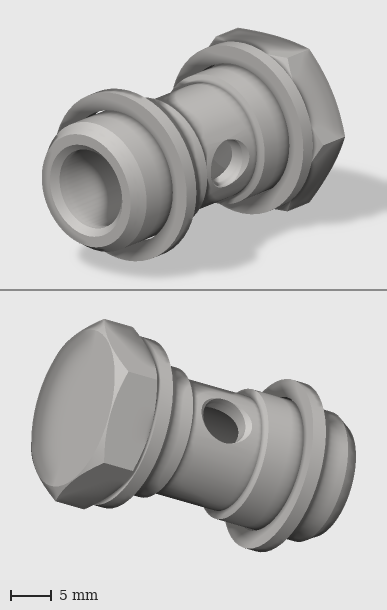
import cadquery as cq
import math


total_length = 36.0
head_height = 6.0
head_across_flats = 19.98
head_across_corners = head_across_flats / math.cos(math.radians(30))
head_face_diameter = 19.75
head_chamfer_angle = 30.0

shank_length = total_length - head_height
shank_diameter = 16.45
neck_diameter = 14.55
neck_start = 6.5
neck_length = 10.0
neck_end = neck_start + neck_length
neck_taper_length = 0.35
tip_diameter = 14.33
tip_chamfer_length = 1.75

bore_diameter = 10.0
bore_depth = 27.0
bore_mouth_diameter = 11.65
bore_mouth_depth = (bore_mouth_diameter - bore_diameter) / 2
drill_point_angle = 118.0

cross_hole_diameter = 6.0
cross_hole_mouth_diameter = 7.2
cross_hole_y = -(neck_start + neck_length / 2)

washer_outer_diameter = 21.4
washer_inner_diameter = 16.9
washer_thickness = 1.8
washer_spacing = 21.78
washer_count = 2


def revolve_about_y(half_profile):
    """Revolve a closed (radius, y) outline around the Y axis."""
    return cq.Workplane("XY").polyline(half_profile).close().revolve(360, (0, 0), (0, 1))


def make_head():
    """Hexagonal prism with corners on the X axis, chamfered conically at both ends."""
    prism = (
        cq.Workplane("XZ")
        .polygon(6, head_across_corners)
        .extrude(-head_height)
    )
    face_radius = head_face_diameter / 2
    corner_radius = head_across_corners / 2
    corner_drop = (corner_radius - face_radius) * math.tan(math.radians(head_chamfer_angle))
    envelope = revolve_about_y([
        (0, 0),
        (face_radius, 0),
        (corner_radius, corner_drop),
        (corner_radius, head_height - corner_drop),
        (face_radius, head_height),
        (0, head_height),
    ])
    return prism.intersect(envelope)


def make_shank():
    """Turned shank with a tapered-shoulder neck and a chamfered tip."""
    shank_radius = shank_diameter / 2
    neck_radius = neck_diameter / 2
    return revolve_about_y([
        (0, 0),
        (shank_radius, 0),
        (shank_radius, -(neck_start - neck_taper_length)),
        (neck_radius, -neck_start),
        (neck_radius, -neck_end),
        (shank_radius, -(neck_end + neck_taper_length)),
        (shank_radius, -(shank_length - tip_chamfer_length)),
        (tip_diameter / 2, -shank_length),
        (0, -shank_length),
    ])


def make_bore():
    """Blind drilled bore from the tip, with a chamfered mouth and a conical end."""
    bore_radius = bore_diameter / 2
    bore_end = -shank_length + bore_depth
    point_height = bore_radius / math.tan(math.radians(drill_point_angle / 2))
    return revolve_about_y([
        (0, -shank_length),
        (bore_mouth_diameter / 2, -shank_length),
        (bore_radius, -shank_length + bore_mouth_depth),
        (bore_radius, bore_end),
        (0, bore_end + point_height),
    ])


def make_cross_hole():
    """Hole along X through the neck, with a 45 degree countersink on each side."""
    hole_radius = cross_hole_diameter / 2
    mouth_radius = cross_hole_mouth_diameter / 2
    mouth_x = neck_diameter / 2
    sink_start_x = mouth_x - (mouth_radius - hole_radius)
    profile = [
        (-mouth_x, 0),
        (-mouth_x, mouth_radius),
        (-sink_start_x, hole_radius),
        (sink_start_x, hole_radius),
        (mouth_x, mouth_radius),
        (mouth_x, 0),
    ]
    cutter = cq.Workplane("XY").polyline(profile).close().revolve(360, (0, 0), (1, 0))
    return cutter.translate((0, cross_hole_y, 0))


def make_bolt():
    return make_head().union(make_shank()).cut(make_bore()).cut(make_cross_hole())


def make_washer(top_y):
    """Flat ring whose upper face lies at top_y."""
    return (
        cq.Workplane("XZ", origin=(0, top_y, 0))
        .circle(washer_outer_diameter / 2)
        .circle(washer_inner_diameter / 2)
        .extrude(washer_thickness)
    )


bolt = make_bolt()
washers = [make_washer(-index * washer_spacing) for index in range(washer_count)]

result = cq.Compound.makeCompound([bolt.val(), *[washer.val() for washer in washers]])